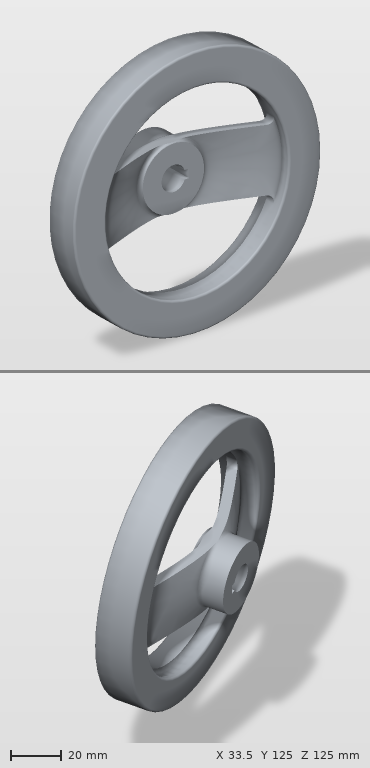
import cadquery as cq

wheel_radius = 62.5
wheel_length = 33.5

rim_width = 16.6
rim_front = wheel_length - rim_width
rim_front_bore_radius = 48.1
rim_back_bore_radius = 46.2
rim_edge_round = 1.0
web_to_rim_round = 1.6

hub_radius = 15.5
hub_back = 17.8
hub_to_web_round = 1.2

web_thickness = 4.8
web_front_at_hub = 10.8
web_slope = 0.43
arm_half_width = 15.6
window_corner_round = 2.5

bore_radius = 6.0
keyway_width = 4.2
keyway_reach = 7.9


def web_front(radius):
    """Axial position of the web's front cone at a given radius."""
    return web_front_at_hub + web_slope * (radius - hub_radius)


def web_back(radius):
    """Axial position of the web's back cone at a given radius."""
    return web_front(radius) + web_thickness


def round_circle(body, x, radius, size):
    """Round the circular edge at axial position x with the given radius."""
    margin = 0.1
    reach = radius + margin
    edges = body.edges(
        cq.selectors.BoxSelector(
            (x - margin, -reach, -reach), (x + margin, reach, reach), boundingbox=True
        )
    ).edges(cq.selectors.RadiusNthSelector(-1))
    return edges.fillet(size)


def make_wheel():
    """Hub, web and rim as one turned body, with its edges rounded."""
    profile = [
        (0, 0),
        (0, hub_radius),
        (web_front(hub_radius), hub_radius),
        (web_front(rim_front_bore_radius), rim_front_bore_radius),
        (rim_front, rim_front_bore_radius),
        (rim_front, wheel_radius),
        (wheel_length, wheel_radius),
        (wheel_length, rim_back_bore_radius),
        (web_back(rim_back_bore_radius), rim_back_bore_radius),
        (web_back(hub_radius), hub_radius),
        (hub_back, hub_radius),
        (hub_back, 0),
    ]
    body = cq.Workplane("XY").polyline(profile).close().revolve(360, (0, 0, 0), (1, 0, 0))
    body = round_circle(body, web_front(hub_radius), hub_radius, hub_to_web_round)
    body = round_circle(body, web_back(hub_radius), hub_radius, hub_to_web_round)
    body = round_circle(body, web_front(rim_front_bore_radius), rim_front_bore_radius, web_to_rim_round)
    for x, radius in (
        (rim_front, rim_front_bore_radius),
        (rim_front, wheel_radius),
        (wheel_length, wheel_radius),
        (wheel_length, rim_back_bore_radius),
    ):
        body = round_circle(body, x, radius, rim_edge_round)
    return body


def make_windows():
    """Both openings between the arms and the rim: a disc with the arm band taken out."""
    disc = cq.Workplane("YZ").circle(rim_back_bore_radius).extrude(wheel_length)
    arm_band = cq.Workplane("YZ").rect(2 * wheel_radius, 2 * arm_half_width).extrude(wheel_length)
    return disc.cut(arm_band).edges("|X").fillet(window_corner_round)


def make_keyed_bore():
    """Through bore with a keyway on the +Y side."""
    bore = cq.Workplane("YZ").circle(bore_radius).extrude(hub_back)
    keyway = (
        cq.Workplane("YZ")
        .center(keyway_reach / 2, 0)
        .rect(keyway_reach, keyway_width)
        .extrude(hub_back)
    )
    return bore.union(keyway)


result = make_wheel().cut(make_windows()).cut(make_keyed_bore())